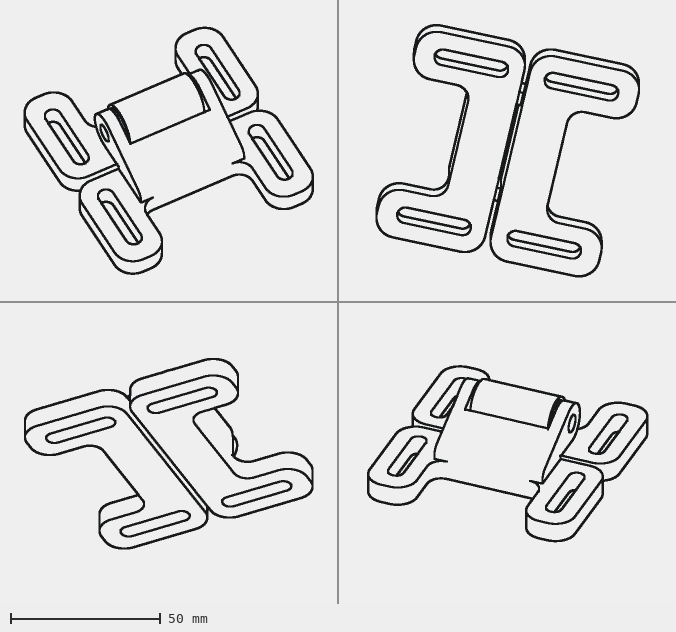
import cadquery as cq
import math

TOTAL_WIDTH = 76.0
TOTAL_DEPTH = 74.0
TOTAL_HEIGHT = 23.0

LEAF_GAP = 2.0
LEAF_WIDTH = (TOTAL_WIDTH - LEAF_GAP) / 2
LEAF_THICKNESS = 7.0
TAB_DEPTH = 17.0
TAB_CORNER_RADIUS = 7.0
WEB_FILLET_RADIUS = 5.0

SLOT_LENGTH = 25.0
SLOT_WIDTH = 5.5
SLOT_END_MARGIN = 6.7

KNUCKLE_RADIUS = 8.0
KNUCKLE_LENGTH = 28.0
WEB_WIDTH = 2 * KNUCKLE_RADIUS
INNER_EDGE = LEAF_GAP / 2
AXIS_X = -INNER_EDGE - KNUCKLE_RADIUS
AXIS_Z = TOTAL_HEIGHT - KNUCKLE_RADIUS
KNUCKLE_BORE_DIAMETER = 13.5

ARM_RADIUS = 7.0
ARM_HOLE_DIAMETER = 6.0
FORK_LENGTH = 39.0
FORK_OPENING = 30.0
FORK_SLOPE = math.radians(25)
FORK_HEEL_RADIUS = 4.0
FORK_BACK = INNER_EDGE + WEB_WIDTH


def extrude_along_hinge(profile, length):
    """Extrude an XZ profile by the given length, centred on Y = 0."""
    return profile.extrude(length / 2, both=True)


def make_plate():
    """Slotted leaf plate lying on the +X side of the hinge gap."""
    middle = INNER_EDGE + LEAF_WIDTH / 2
    tab_y = (TOTAL_DEPTH - TAB_DEPTH) / 2
    plate = (
        cq.Workplane("XY")
        .center(middle, 0)
        .rect(LEAF_WIDTH, TOTAL_DEPTH)
        .extrude(LEAF_THICKNESS)
    )

    recess = (
        cq.Workplane("XY")
        .center(FORK_BACK + LEAF_WIDTH / 2, 0)
        .rect(LEAF_WIDTH, TOTAL_DEPTH - 2 * TAB_DEPTH)
        .extrude(LEAF_THICKNESS)
        .edges("|Z and <X")
        .fillet(WEB_FILLET_RADIUS)
    )
    plate = plate.cut(recess)

    plate = plate.edges("|Z and (<X or >X)").fillet(TAB_CORNER_RADIUS)

    slot_x = INNER_EDGE + LEAF_WIDTH - SLOT_END_MARGIN - SLOT_LENGTH / 2
    slots = (
        cq.Workplane("XY")
        .pushPoints([(slot_x, -tab_y), (slot_x, tab_y)])
        .slot2D(SLOT_LENGTH, SLOT_WIDTH)
        .extrude(LEAF_THICKNESS)
    )
    return plate.cut(slots)


def make_bore(diameter):
    """Round cutter along the whole hinge axis."""
    circle = cq.Workplane("XZ").center(AXIS_X, AXIS_Z).circle(diameter / 2)
    return extrude_along_hinge(circle, TOTAL_DEPTH)


def make_knuckle_leaf():
    """Leaf on the -X side, carrying the round-topped hollow knuckle."""
    profile = (
        cq.Workplane("XZ")
        .moveTo(AXIS_X - KNUCKLE_RADIUS, 0)
        .lineTo(AXIS_X - KNUCKLE_RADIUS, AXIS_Z)
        .threePointArc((AXIS_X, TOTAL_HEIGHT), (AXIS_X + KNUCKLE_RADIUS, AXIS_Z))
        .lineTo(AXIS_X + KNUCKLE_RADIUS, 0)
        .close()
    )
    knuckle = extrude_along_hinge(profile, KNUCKLE_LENGTH)
    return make_plate().mirror("YZ").union(knuckle).cut(make_bore(KNUCKLE_BORE_DIAMETER))


def make_fork():
    """Sloping block with two rounded arms reaching over to the hinge axis."""
    tangent_x = AXIS_X + ARM_RADIUS * math.sin(FORK_SLOPE)
    tangent_z = AXIS_Z + ARM_RADIUS * math.cos(FORK_SLOPE)
    back_z = tangent_z - (FORK_BACK - tangent_x) * math.tan(FORK_SLOPE)
    arm_bottom = AXIS_Z - ARM_RADIUS

    profile = (
        cq.Workplane("XZ")
        .moveTo(tangent_x, tangent_z)
        .threePointArc((AXIS_X - ARM_RADIUS, AXIS_Z), (AXIS_X, arm_bottom))
        .lineTo(INNER_EDGE, arm_bottom)
        .lineTo(INNER_EDGE, 0)
        .lineTo(FORK_BACK, 0)
        .lineTo(FORK_BACK, back_z)
        .close()
    )
    fork = extrude_along_hinge(profile, FORK_LENGTH)
    fork = fork.faces(">X").edges(">Z").fillet(FORK_HEEL_RADIUS)

    opening = (
        cq.Workplane("XY")
        .center(INNER_EDGE - LEAF_WIDTH / 2, 0)
        .rect(LEAF_WIDTH, FORK_OPENING)
        .extrude(TOTAL_HEIGHT)
    )
    return fork.cut(opening)


def make_fork_leaf():
    """Leaf on the +X side, carrying the fork."""
    return make_plate().union(make_fork()).cut(make_bore(ARM_HOLE_DIAMETER))


knuckle_leaf = make_knuckle_leaf()
fork_leaf = make_fork_leaf()

result = cq.Compound.makeCompound([knuckle_leaf.val(), fork_leaf.val()])